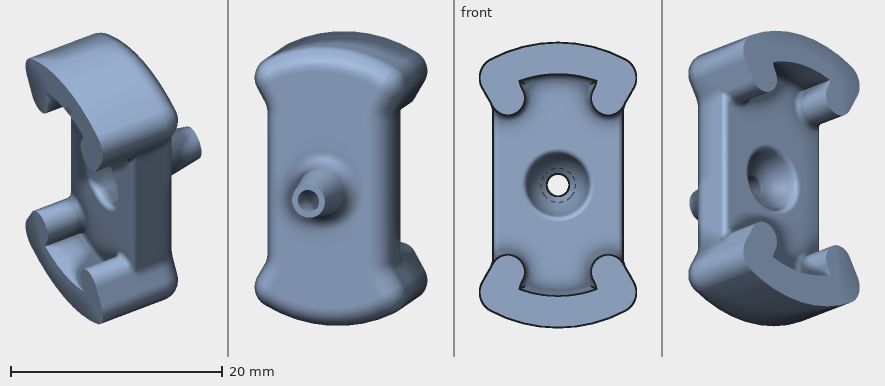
import cadquery as cq
import math

plate_thickness = 5.0
arm_depth = 9.0
nozzle_length = 5.02
arm_overlap = 1.35

outer_radius = 13.5
inner_radius = 10.5
half_width = 7.42
corner_radius = 2.0
waist_half_width = 6.15
waist_blend_radius = 2.0
flank_angle = math.radians(30)
hook_radius = 1.62
hook_corner_half_width = 3.65

back_edge_radius = 1.97
front_edge_radius = 0.5
front_edge_half_length = 7.85
arm_root_radius = 0.5

nozzle_tip_radius = 1.62
nozzle_draft = math.radians(10)
nozzle_root_radius = 1.48
cavity_radius = 3.0
cavity_rim_radius = 0.5
bore_radius = 1.05
bore_rim_radius = 0.27

part_axis = (0, 0)
match_tolerance = 0.0003

normal_x, normal_z = math.cos(flank_angle), -math.sin(flank_angle)
rise_x, rise_z = -normal_z, normal_x

corner_x = half_width - corner_radius
corner_z = math.sqrt((outer_radius - corner_radius) ** 2 - corner_x ** 2)
corner_reach = outer_radius / (outer_radius - corner_radius)
arc_end = (corner_x * corner_reach, corner_z * corner_reach)
flank_top = (corner_x + corner_radius * normal_x, corner_z + corner_radius * normal_z)

flank_run = (flank_top[0] - waist_half_width) / rise_x
flank_bottom = (waist_half_width, flank_top[1] - flank_run * rise_z)
hook_x = flank_bottom[0] - hook_radius * normal_x
hook_z = flank_bottom[1] - hook_radius * normal_z

hook_end = (hook_x - hook_radius * normal_x, hook_z - hook_radius * normal_z)
hook_corner = (
    hook_corner_half_width,
    math.sqrt(inner_radius ** 2 - hook_corner_half_width ** 2),
)


def arc_middle(centre, start, end):
    """Middle of the shorter arc around centre from start to end."""
    radius = math.dist(centre, start)
    lean_x = start[0] + end[0] - 2 * centre[0]
    lean_y = start[1] + end[1] - 2 * centre[1]
    scale = radius / math.hypot(lean_x, lean_y)
    return (centre[0] + lean_x * scale, centre[1] + lean_y * scale)


def end_outline(sketch):
    """Right half of the end: from the top of the end arc round the corner and down the flank."""
    return (
        sketch
        .moveTo(0, outer_radius)
        .threePointArc(arc_middle(part_axis, (0, outer_radius), arc_end), arc_end)
        .threePointArc((half_width, corner_z), flank_top)
        .lineTo(*flank_bottom)
    )


def make_plate():
    quarter = (
        end_outline(cq.Workplane("XZ"))
        .lineTo(waist_half_width, 0)
        .lineTo(0, 0)
        .close()
        .extrude(plate_thickness)
    )
    half = quarter.union(quarter.mirror("YZ"))
    plate = half.union(half.mirror("XY")).clean()
    waist_box = cq.selectors.BoxSelector(
        (-half_width, -plate_thickness, -hook_z),
        (half_width, 0, hook_z),
    )
    plate = plate.edges("|Y").edges(waist_box).fillet(waist_blend_radius)
    return plate.faces(">Y").edges().fillet(back_edge_radius)


def make_edge_cutter():
    """Waste that leaves both straight front edges of the waist rounded."""
    front = -plate_thickness
    tangent_x = waist_half_width - front_edge_radius
    tangent_y = front + front_edge_radius
    outside_x = waist_half_width + front_edge_radius
    outside_y = front - front_edge_radius
    diagonal = front_edge_radius * math.sqrt(0.5)
    cutter = (
        cq.Workplane("XY", origin=(0, 0, -front_edge_half_length))
        .moveTo(tangent_x, front)
        .threePointArc((tangent_x + diagonal, tangent_y - diagonal), (waist_half_width, tangent_y))
        .lineTo(outside_x, tangent_y)
        .lineTo(outside_x, outside_y)
        .lineTo(tangent_x, outside_y)
        .close()
        .extrude(2 * front_edge_half_length)
    )
    return cutter.union(cutter.mirror("YZ"))


def make_arm():
    """Upper arm, overlapping the front part of the plate."""
    start_plane = cq.Workplane("XZ", origin=(0, arm_overlap - plate_thickness, 0))
    half = (
        end_outline(start_plane)
        .threePointArc((hook_x, hook_z - hook_radius), hook_end)
        .tangentArcPoint(hook_corner, relative=False)
        .threePointArc(arc_middle(part_axis, hook_corner, (0, inner_radius)), (0, inner_radius))
        .close()
        .extrude(arm_overlap + arm_depth - plate_thickness)
    )
    return half.union(half.mirror("YZ")).clean()


def is_arm_root(edge):
    """True for an edge on the plate's front face that runs along the inside of an arm."""
    def on_arm_wall(point):
        x, z = abs(point.x), abs(point.z)
        on_hook = math.isclose(math.hypot(x - hook_x, z - hook_z), hook_radius, abs_tol=match_tolerance)
        on_inner_arc = math.isclose(math.hypot(x, z), inner_radius, abs_tol=match_tolerance)
        return on_hook or on_inner_arc

    return on_arm_wall(edge.startPoint()) and on_arm_wall(edge.endPoint())


def make_body():
    """Plate with both arms, rounded along the waist and around the arm roots."""
    arm = make_arm()
    body = make_plate().cut(make_edge_cutter()).union(arm).union(arm.mirror("XY"))
    front_face = body.faces("|Y").faces(cq.selectors.NearestToPointSelector((0, -plate_thickness, 0)))
    root_edges = [edge for edge in front_face.edges().vals() if is_arm_root(edge)]
    return body.newObject(root_edges).fillet(arm_root_radius)


def revolve_about_y(profile):
    """Turn a closed XY profile around the Y axis."""
    return profile.close().revolve(360, (0, 0, 0), (0, 1, 0))


def make_nozzle():
    """Tapered nozzle whose concave root runs tangent into the plate's back."""
    root_y = nozzle_root_radius * (1 - math.sin(nozzle_draft))
    root_x = nozzle_tip_radius + (nozzle_length - root_y) * math.tan(nozzle_draft)
    centre_x = root_x + nozzle_root_radius * math.cos(nozzle_draft)
    sunk_y = -plate_thickness / 4
    root_middle = arc_middle((centre_x, nozzle_root_radius), (centre_x, 0), (root_x, root_y))
    return revolve_about_y(
        cq.Workplane("XY")
        .moveTo(0, sunk_y)
        .lineTo(centre_x, sunk_y)
        .lineTo(centre_x, 0)
        .threePointArc(root_middle, (root_x, root_y))
        .lineTo(nozzle_tip_radius, nozzle_length)
        .lineTo(0, nozzle_length)
    )


def make_cavity():
    """Hemispherical bowl in the plate's front with a bore out through the nozzle."""
    front = -plate_thickness
    rim_x = math.sqrt((cavity_radius + cavity_rim_radius) ** 2 - cavity_rim_radius ** 2)
    rim_share = cavity_radius / (cavity_radius + cavity_rim_radius)
    rim_end = (rim_x * rim_share, front + cavity_rim_radius * rim_share)
    rim_middle = arc_middle((rim_x, front + cavity_rim_radius), (rim_x, front), rim_end)
    mouth_x = bore_radius + bore_rim_radius
    mouth_rise = math.sqrt((cavity_radius + bore_rim_radius) ** 2 - mouth_x ** 2)
    mouth_share = cavity_radius / (cavity_radius + bore_rim_radius)
    mouth_start = (mouth_x * mouth_share, front + mouth_rise * mouth_share)
    mouth_end = (bore_radius, front + mouth_rise)
    mouth_middle = arc_middle((mouth_x, front + mouth_rise), mouth_start, mouth_end)
    bowl_middle = arc_middle((0, front), rim_end, mouth_start)
    return revolve_about_y(
        cq.Workplane("XY")
        .moveTo(0, front)
        .lineTo(rim_x, front)
        .threePointArc(rim_middle, rim_end)
        .threePointArc(bowl_middle, mouth_start)
        .threePointArc(mouth_middle, mouth_end)
        .lineTo(bore_radius, nozzle_length)
        .lineTo(0, nozzle_length)
    )


result = make_body().union(make_nozzle()).cut(make_cavity())